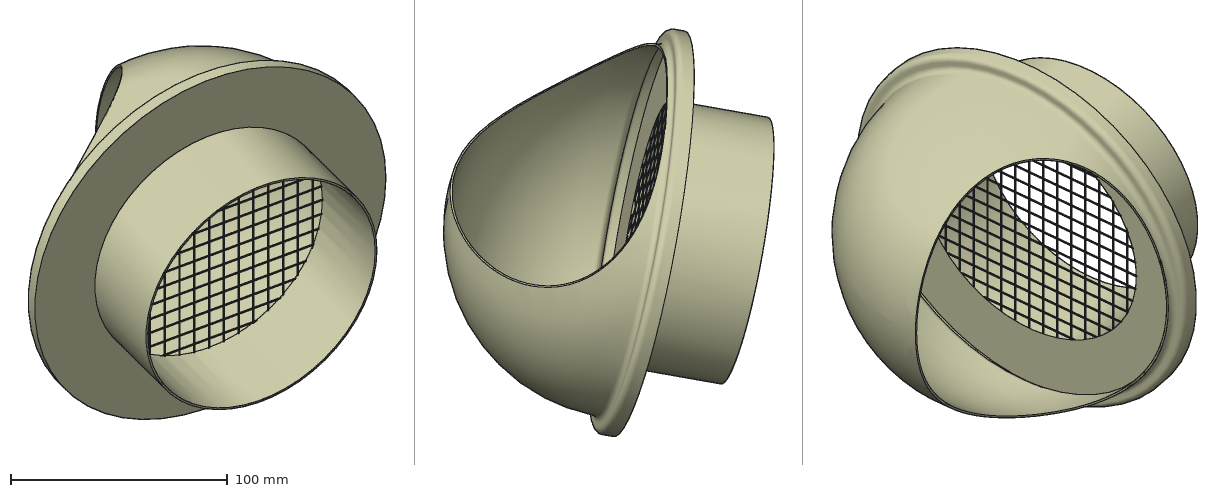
import cadquery as cq
import math


sheet = 1.0

flange_radius = 95.0
flange_thickness = 8.0
flange_round = 3.0
flange_inner_round = flange_round - sheet
plate_thickness = 1.5
floor_x = -plate_thickness
flange_front_x = -flange_thickness

spigot_length = 45.0
spigot_radius = 62.5
bore_radius = spigot_radius - sheet

hood_radius = 87.0
hood_inner_radius = hood_radius - sheet
hood_fillet = 3.0
hood_inner_fillet = hood_fillet + sheet

scoop_radius = 84.0
scoop_x = flange_front_x - hood_radius
scoop_y = -88.0

wire_width = 0.6
wire_pitch = 8.0
wire_depth = 0.3
wire_back_x = -1.0
wire_centre_x = wire_back_x - wire_depth / 2
wire_end_radius = spigot_radius - sheet / 2


def on_circle(centre, radius, degrees):
    """Point at an angle on a circle."""
    angle = math.radians(degrees)
    return (centre[0] + radius * math.cos(angle), centre[1] + radius * math.sin(angle))


def shell():
    """Hood, hollow flange and spigot as one section turned about the duct axis."""
    hood_centre = (flange_front_x, 0)
    fillet_tilt = math.degrees(math.asin(hood_fillet / (hood_radius + hood_fillet)))
    fillet_centre = on_circle(hood_centre, hood_radius + hood_fillet, 90 + fillet_tilt)
    round_centre = (flange_front_x + flange_round, flange_radius - flange_round)

    section = (
        cq.Workplane("XY")
        .moveTo(*on_circle(hood_centre, hood_radius, 180))
        .threePointArc(
            on_circle(hood_centre, hood_radius, 135),
            on_circle(hood_centre, hood_radius, 90 + fillet_tilt),
        )
        .threePointArc(
            on_circle(fillet_centre, hood_fillet, (fillet_tilt - 90) / 2),
            on_circle(fillet_centre, hood_fillet, 0),
        )
        .lineTo(*on_circle(round_centre, flange_round, 180))
        .threePointArc(
            on_circle(round_centre, flange_round, 135),
            on_circle(round_centre, flange_round, 90),
        )
        .lineTo(0, flange_radius)
        .lineTo(0, spigot_radius)
        .lineTo(spigot_length, spigot_radius)
        .lineTo(spigot_length, bore_radius)
        .lineTo(floor_x, bore_radius)
        .lineTo(floor_x, flange_radius - sheet)
        .lineTo(*on_circle(round_centre, flange_inner_round, 90))
        .threePointArc(
            on_circle(round_centre, flange_inner_round, 135),
            on_circle(round_centre, flange_inner_round, 180),
        )
        .lineTo(*on_circle(fillet_centre, hood_inner_fillet, 0))
        .threePointArc(
            on_circle(fillet_centre, hood_inner_fillet, (fillet_tilt - 90) / 2),
            on_circle(fillet_centre, hood_inner_fillet, fillet_tilt - 90),
        )
        .threePointArc(
            on_circle(hood_centre, hood_inner_radius, 135),
            on_circle(hood_centre, hood_inner_radius, 180),
        )
        .close()
    )
    return section.revolve(360, (0, 0, 0), (1, 0, 0))


def scoop():
    """Upright cylinder that cuts the opening of the hood."""
    return (
        cq.Workplane("XY")
        .center(scoop_x, scoop_y)
        .circle(scoop_radius)
        .extrude(hood_radius, both=True)
    )


def wire_guard():
    """Square grid of wires whose ends sit in the wall of the bore."""
    outermost = math.floor(bore_radius / wire_pitch)
    offsets = [index * wire_pitch for index in range(-outermost, outermost + 1)]
    wires = cq.Workplane("XY")
    for offset in offsets:
        length = 2 * math.sqrt(wire_end_radius**2 - offset**2)
        level_wire = cq.Workplane("XY").box(wire_depth, length, wire_width)
        upright_wire = cq.Workplane("XY").box(wire_depth, wire_width, length)
        wires = wires.union(level_wire.translate((wire_centre_x, 0, offset)))
        wires = wires.union(upright_wire.translate((wire_centre_x, offset, 0)))
    return wires


result = shell().cut(scoop()).union(wire_guard())